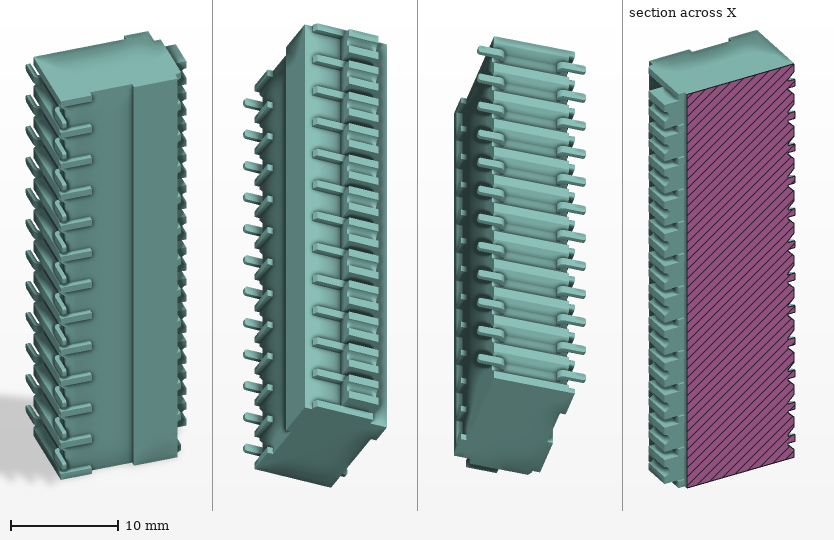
import cadquery as cq

CELLS = 12
PITCH = 3.5
END_MARGIN = 0.35
LENGTH = CELLS * PITCH + 2 * END_MARGIN

WALL_X = 3.65
FLANGE_X = 4.2
BASE_Y = 0.2
FLANGE_BOTTOM_Y = 7.44
DECK_Y = 11.75

DIVIDER = 0.65
RIDGE = 0.74
RIDGE_HEIGHT = 0.65
RIDGE_LEFT_X = -2.5
RIDGE_RIGHT_X = 3.45
RIDGE_CHAMFER_X = 0.25
RIDGE_CHAMFER_Y = 0.4
LIP_BOTTOM_Y = 10.77
TOOTH_BOTTOM_Y = 9.33
FOOT_TOP_Y = 3.26
FOOT_ROUNDING = 0.18

GROOVE_OPENING = 2.45
GROOVE_FLOOR = 1.13
GROOVE_DEPTH = 0.66

LEVER_LEFT_X = -2.4
LEVER_RIGHT_X = 0.6
LEVER_TOP_Y = 13.85
LEVER_WIDTH = 2.6
NOTCH_RADIUS = 0.52

LEG_TIP_X = 5.25
LEG_THICKNESS = 0.4
LEG_WIDTH = 0.8
LEG_BACK_X = 2.55
BEND_INNER_RADIUS = 0.2
BEND_OUTER_RADIUS = BEND_INNER_RADIUS + LEG_THICKNESS
TIP_RADIUS = 0.27
LEG_EMBED = 0.3

GROOVE_FLOOR_Y = BASE_Y + GROOVE_DEPTH
cell_centres = [END_MARGIN + PITCH * (i + 0.5) for i in range(CELLS)]
cell_borders = [END_MARGIN + PITCH * i for i in range(CELLS + 1)]


def block(x0, x1, y0, y1, z0, z1):
    return cq.Workplane("XY").box(x1 - x0, y1 - y0, z1 - z0, centered=False).translate((x0, y0, z0))


def divider_span(border, width):
    """Z range of a divider of this width, widened to the end face at either end of the housing."""
    low = border - width / 2
    high = border + width / 2
    if border == cell_borders[0]:
        low = 0
    if border == cell_borders[-1]:
        high = LENGTH
    return low, high


def make_core():
    core = block(-WALL_X, WALL_X, BASE_Y, DECK_Y, 0, LENGTH)
    lip = block(-FLANGE_X, -WALL_X, LIP_BOTTOM_Y, DECK_Y, 0, LENGTH)
    flange = block(WALL_X, FLANGE_X, FLANGE_BOTTOM_Y, DECK_Y, 0, LENGTH)
    return core.union(lip).union(flange)


def make_groove(centre):
    return (
        cq.Workplane("YZ", origin=(-WALL_X, 0, centre))
        .moveTo(BASE_Y, -GROOVE_OPENING / 2)
        .lineTo(GROOVE_FLOOR_Y, -GROOVE_FLOOR / 2)
        .lineTo(GROOVE_FLOOR_Y, GROOVE_FLOOR / 2)
        .lineTo(BASE_Y, GROOVE_OPENING / 2)
        .close()
        .extrude(2 * WALL_X)
    )


def make_divider(border):
    """Tooth on the -X wall, foot with rounded inner corners on the +X wall, and ridge on the deck."""
    low, high = divider_span(border, DIVIDER)
    tooth = block(-FLANGE_X, -WALL_X, TOOTH_BOTTOM_Y, LIP_BOTTOM_Y, low, high)
    foot = block(WALL_X, FLANGE_X, BASE_Y, FOOT_TOP_Y, low, high)
    if low > 0:
        foot = foot.faces("<Z").edges("<Y").fillet(FOOT_ROUNDING)
    if high < LENGTH:
        foot = foot.faces(">Z").edges("<Y").fillet(FOOT_ROUNDING)
    ridge_low, ridge_high = divider_span(border, RIDGE)
    ridge_top = DECK_Y + RIDGE_HEIGHT
    ridge = (
        cq.Workplane("XY", origin=(0, 0, ridge_low))
        .moveTo(RIDGE_LEFT_X, DECK_Y)
        .lineTo(RIDGE_RIGHT_X, DECK_Y)
        .lineTo(RIDGE_RIGHT_X, ridge_top - RIDGE_CHAMFER_Y)
        .lineTo(RIDGE_RIGHT_X - RIDGE_CHAMFER_X, ridge_top)
        .lineTo(RIDGE_LEFT_X, ridge_top)
        .close()
        .extrude(ridge_high - ridge_low)
    )
    return [tooth, foot, ridge]


def make_lever(centre):
    half = LEVER_WIDTH / 2
    lever = block(LEVER_LEFT_X, LEVER_RIGHT_X, DECK_Y, LEVER_TOP_Y, centre - half, centre + half)
    notch = (
        cq.Workplane("YZ", origin=(LEVER_LEFT_X, LEVER_TOP_Y, centre))
        .circle(NOTCH_RADIUS)
        .extrude(LEVER_RIGHT_X - LEVER_LEFT_X)
    )
    return lever.cut(notch)


def make_leg(centre):
    """Bent strip: out of the groove floor, round the bend and outwards along +X."""
    bend_end_x = LEG_BACK_X + BEND_OUTER_RADIUS
    post_end_y = GROOVE_FLOOR_Y + LEG_EMBED
    return (
        cq.Workplane("XY", origin=(0, 0, centre - LEG_WIDTH / 2))
        .moveTo(LEG_TIP_X, 0)
        .lineTo(bend_end_x, 0)
        .radiusArc((LEG_BACK_X, BEND_OUTER_RADIUS), BEND_OUTER_RADIUS)
        .lineTo(LEG_BACK_X, post_end_y)
        .lineTo(LEG_BACK_X + LEG_THICKNESS, post_end_y)
        .lineTo(LEG_BACK_X + LEG_THICKNESS, BEND_OUTER_RADIUS)
        .radiusArc((bend_end_x, LEG_THICKNESS), -BEND_INNER_RADIUS)
        .lineTo(LEG_TIP_X, LEG_THICKNESS)
        .close()
        .extrude(LEG_WIDTH)
        .faces(">X")
        .edges("|Y")
        .fillet(TIP_RADIUS)
    )


result = make_core()
for centre in cell_centres:
    result = result.cut(make_groove(centre))
for border in cell_borders:
    for piece in make_divider(border):
        result = result.union(piece)
for centre in cell_centres:
    leg = make_leg(centre)
    result = result.union(make_lever(centre)).union(leg).union(leg.mirror("YZ"))